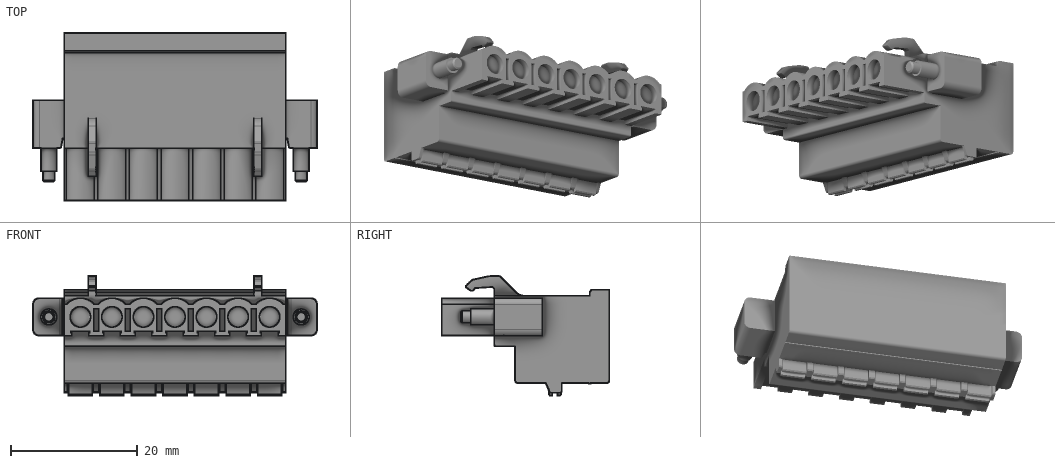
import cadquery as cq
import math


POLES = 7
PITCH = 5.0
HOUSING_WIDTH = 35.2
OVERALL_WIDTH = 45.1
OVERALL_HEIGHT = 19.0
OVERLAP = 0.45

HOUSING_DEPTH = 18.25
DECK_TOP = 3.4
LIP_TOP = 4.35
LIP_FRONT = 15.15
LIP_CHAMFER_DEPTH = 0.25
LIP_CHAMFER_DROP = 0.4
STEP_BOTTOM = -4.7
STEP_FRONT = 3.3
HOUSING_BOTTOM = -10.5
BOTTOM_FILLET = 0.45
STEP_FILLET = 0.23
BEAD_WIDTH = 0.3
BEAD_HEIGHT = 0.15

SOCKET_LENGTH = 8.35
BLOCK_HALF_HEIGHT = 2.98
LEDGE_TOP = 2.0
HOLE_RADIUS = 1.62
HOLE_DEPTH = 1.3
SLOT_WIDTH = 0.75
SLOT_TOP = 1.3
SLOT_BOTTOM = -2.25
NOTCH_WIDTH = 2.65
NOTCH_TOP_WIDTH = 2.98
NOTCH_HEIGHT = 0.7
UNDERCUT_HEIGHT = 0.23

FLANGE_DEPTH = 7.6
FLANGE_FILLET = 1.0
RELIEF_DEPTH = 1.5
RELIEF_BACK_GAP = 0.23
RELIEF_FRONT_GAP = 0.5
RELIEF_FILLET = 0.3
SCREW_X = PITCH * (POLES + 1) / 2
SCREW_RADIUS = 1.25
SCREW_LENGTH = 3.7
TIP_RADIUS = 0.95
TIP_LENGTH = 1.62
TIP_CHAMFER = 0.23

LATCH_X = 13.15
LATCH_WIDTH = 1.25
LATCH_TOP = 6.5
LATCH_ROOT_FILLET = 1.65
LATCH_RAMP_ANGLE = math.radians(45)
LATCH_CREST_Y = 0.9
LATCH_PEAK_FILLET = 0.35
LATCH_CREST_END = (-0.8, LATCH_TOP)
LATCH_CREST_FILLET = 2.25
LATCH_BROW = (-3.47, 5.9)
LATCH_BROW_FILLET = 0.68
LATCH_NOSE_Y = -4.5
LATCH_NOSE_TOP = 4.9
LATCH_NOSE_BOTTOM = 4.7
LATCH_BARB_FRONT = -3.75
LATCH_BARB_BACK = -3.4
LATCH_BARB_BOTTOM = 4.15
LATCH_BARB_ROOT = (-3.0, 4.55)
LATCH_UNDERSIDE = 4.75
LATCH_INNER_CHAMFER = 0.25

FOOT_BACK = 10.75
FOOT_FRONT = 8.15
FOOT_TIP_FRONT = 8.75
FOOT_BOTTOM = -12.05
FOOT_CHAMFER = 0.2
RIB_WIDTH = 0.95
CLIP_WIDTH = 3.85
CLIP_BACK = 10.6
CLIP_FRONT = 8.65
CLIP_THICKNESS = 0.6
CLIP_BOTTOM = LATCH_TOP - OVERALL_HEIGHT
CLIP_CHAMFER = 0.2


def bar(x_middle, width, y_min, y_max, z_min, z_max):
    """Box centred on x_middle, spanning the given Y and Z ranges."""
    block = cq.Workplane().box(width, y_max - y_min, z_max - z_min, centered=(True, False, False))
    return block.translate((x_middle, y_min, z_min))


def extrude_across(section, width):
    """Extrude a closed YZ section along X, half the width to each side."""
    return section.extrude(width / 2, both=True)


def centred_row(count):
    """X places of a row of poles or gaps, centred on X = 0."""
    return [(i - (count - 1) / 2) * PITCH for i in range(count)]


def edge_at(y, z):
    """Selector for the long X edge through (y, z)."""
    return cq.selectors.NearestToPointSelector((0, y, z))


def make_housing():
    section = cq.Workplane("YZ").polyline([
        (0, STEP_BOTTOM),
        (0, DECK_TOP),
        (LIP_FRONT, DECK_TOP),
        (LIP_FRONT, LIP_TOP - LIP_CHAMFER_DROP),
        (LIP_FRONT + LIP_CHAMFER_DEPTH, LIP_TOP),
        (HOUSING_DEPTH, LIP_TOP),
        (HOUSING_DEPTH, HOUSING_BOTTOM),
        (STEP_FRONT, HOUSING_BOTTOM),
        (STEP_FRONT, STEP_BOTTOM),
    ]).close()
    housing = extrude_across(section, HOUSING_WIDTH)
    housing = housing.edges(edge_at(0, STEP_BOTTOM)).fillet(STEP_FILLET)
    for y in (STEP_FRONT, HOUSING_DEPTH):
        housing = housing.edges(edge_at(y, HOUSING_BOTTOM)).fillet(BOTTOM_FILLET)

    bead = bar(0, HOUSING_WIDTH, LIP_FRONT - BEAD_WIDTH / 2, LIP_FRONT + BEAD_WIDTH / 2,
               HOUSING_BOTTOM - BEAD_HEIGHT, HOUSING_BOTTOM + OVERLAP)
    return housing.union(bead)


def make_sockets():
    row = bar(0, HOUSING_WIDTH, -SOCKET_LENGTH, 0, -BLOCK_HALF_HEIGHT, LEDGE_TOP)
    front = cq.Workplane("XZ", origin=(0, -SOCKET_LENGTH, 0))
    centres = [(x, 0) for x in centred_row(POLES)]

    half_chord = math.sqrt(BLOCK_HALF_HEIGHT**2 - LEDGE_TOP**2)
    for x in centred_row(POLES):
        back = (
            front.moveTo(x - half_chord, LEDGE_TOP)
            .threePointArc((x, BLOCK_HALF_HEIGHT), (x + half_chord, LEDGE_TOP))
            .lineTo(x + half_chord, 0)
            .lineTo(x - half_chord, 0)
            .close()
            .extrude(-SOCKET_LENGTH)
        )
        row = row.union(back)

    row = row.cut(front.pushPoints(centres).circle(HOLE_RADIUS).extrude(-HOLE_DEPTH))

    for x in centred_row(POLES - 1):
        row = row.cut(bar(x, SLOT_WIDTH, -SOCKET_LENGTH, 0, SLOT_BOTTOM, SLOT_TOP))

    notch_top = NOTCH_HEIGHT - BLOCK_HALF_HEIGHT
    for x in centred_row(POLES):
        mouth = bar(x, NOTCH_WIDTH, -SOCKET_LENGTH, 0, -BLOCK_HALF_HEIGHT, notch_top)
        undercut = bar(x, NOTCH_TOP_WIDTH, -SOCKET_LENGTH, 0, notch_top - UNDERCUT_HEIGHT, notch_top)
        row = row.cut(mouth).cut(undercut)
    return row


def make_right_flange():
    inner = HOUSING_WIDTH / 2
    outer = OVERALL_WIDTH / 2
    plate = (
        cq.Workplane("XY", origin=(0, 0, -BLOCK_HALF_HEIGHT))
        .polyline([
            (inner + RELIEF_FRONT_GAP, 0),
            (outer, 0),
            (outer, FLANGE_DEPTH),
            (inner, FLANGE_DEPTH),
            (inner, RELIEF_DEPTH),
            (inner + RELIEF_BACK_GAP, RELIEF_DEPTH),
        ]).close()
        .extrude(2 * BLOCK_HALF_HEIGHT)
    )
    relief_edge = cq.selectors.NearestToPointSelector((inner + RELIEF_FRONT_GAP, 0, 0))
    plate = plate.edges(relief_edge).fillet(RELIEF_FILLET)
    plate = plate.faces(">X").edges("|Y").fillet(FLANGE_FILLET)

    front = cq.Workplane("XZ").center(SCREW_X, 0)
    shank = front.circle(SCREW_RADIUS).extrude(SCREW_LENGTH)
    tip = front.circle(TIP_RADIUS).extrude(SCREW_LENGTH + TIP_LENGTH).faces("<Y").chamfer(TIP_CHAMFER)
    return plate.union(shank).union(tip)


def make_latch(x):
    half_angle = LATCH_RAMP_ANGLE / 2
    tangent = LATCH_ROOT_FILLET * math.tan(half_angle)
    ramp_foot = LATCH_CREST_Y + (LATCH_TOP - DECK_TOP) / math.tan(LATCH_RAMP_ANGLE)
    arc_start = (ramp_foot + tangent, DECK_TOP)
    arc_middle = (
        arc_start[0] - LATCH_ROOT_FILLET * math.sin(half_angle),
        DECK_TOP + LATCH_ROOT_FILLET * (1 - math.cos(half_angle)),
    )
    arc_end = (
        ramp_foot - tangent * math.cos(LATCH_RAMP_ANGLE),
        DECK_TOP + tangent * math.sin(LATCH_RAMP_ANGLE),
    )
    section = (
        cq.Workplane("YZ")
        .moveTo(0, DECK_TOP - OVERLAP)
        .lineTo(arc_start[0], DECK_TOP - OVERLAP)
        .lineTo(*arc_start)
        .threePointArc(arc_middle, arc_end)
        .lineTo(LATCH_CREST_Y, LATCH_TOP)
        .lineTo(*LATCH_CREST_END)
        .lineTo(*LATCH_BROW)
        .lineTo(LATCH_NOSE_Y, LATCH_NOSE_TOP)
        .lineTo(LATCH_NOSE_Y, LATCH_NOSE_BOTTOM)
        .lineTo(LATCH_BARB_FRONT, LATCH_BARB_BOTTOM)
        .lineTo(LATCH_BARB_BACK, LATCH_BARB_BOTTOM)
        .lineTo(*LATCH_BARB_ROOT)
        .lineTo(-LATCH_INNER_CHAMFER, LATCH_UNDERSIDE)
        .lineTo(0, LATCH_UNDERSIDE - LATCH_INNER_CHAMFER)
        .close()
    )
    latch = extrude_across(section, LATCH_WIDTH)
    latch = latch.edges(edge_at(LATCH_CREST_Y, LATCH_TOP)).fillet(LATCH_PEAK_FILLET)
    latch = latch.edges(edge_at(*LATCH_CREST_END)).fillet(LATCH_CREST_FILLET)
    latch = latch.edges(edge_at(*LATCH_BROW)).fillet(LATCH_BROW_FILLET)
    return latch.translate((x, 0, 0))


def make_feet():
    section = cq.Workplane("YZ").polyline([
        (FOOT_BACK, HOUSING_BOTTOM + OVERLAP),
        (FOOT_FRONT, HOUSING_BOTTOM + OVERLAP),
        (FOOT_FRONT, HOUSING_BOTTOM),
        (FOOT_TIP_FRONT, FOOT_BOTTOM + FOOT_CHAMFER),
        (FOOT_TIP_FRONT + FOOT_CHAMFER, FOOT_BOTTOM),
        (FOOT_BACK - FOOT_CHAMFER, FOOT_BOTTOM),
        (FOOT_BACK, FOOT_BOTTOM + FOOT_CHAMFER),
    ]).close()
    comb = extrude_across(section, HOUSING_WIDTH)
    for x in centred_row(POLES):
        comb = comb.cut(bar(x, PITCH - RIB_WIDTH, 0, HOUSING_DEPTH, FOOT_BOTTOM, HOUSING_BOTTOM))
    return comb


def make_clip(x):
    clip = bar(x, CLIP_WIDTH, CLIP_FRONT, CLIP_BACK, CLIP_BOTTOM, HOUSING_BOTTOM)
    clip = clip.edges("|X and <Z").chamfer(CLIP_CHAMFER)
    gap = bar(x, CLIP_WIDTH, CLIP_FRONT + CLIP_THICKNESS, CLIP_BACK - CLIP_THICKNESS,
              CLIP_BOTTOM, HOUSING_BOTTOM)
    return clip.cut(gap)


result = make_housing().union(make_sockets())
flange = make_right_flange()
result = result.union(flange).union(flange.mirror("YZ"))
for latch_x in (-LATCH_X, LATCH_X):
    result = result.union(make_latch(latch_x))
result = result.union(make_feet())
for pole_x in centred_row(POLES):
    result = result.union(make_clip(pole_x))